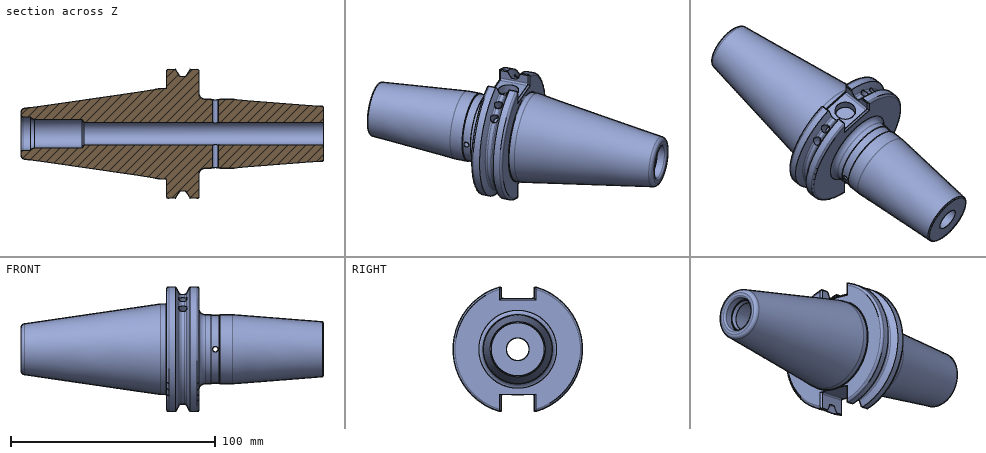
import cadquery as cq
import math


taper_length = 68.25
gauge_radius = 44.45 / 2
taper_slope = 7 / 48
tail_round = 2.0

flange_start = 3.0
flange_end = 19.05
flange_radius = 63.55 / 2
flange_rear_round = 1.2
flange_front_round = 1.0
flange_base_round = 0.3

groove_center = 11.05
groove_floor_radius = 56.25 / 2
groove_half_width = 3.58
groove_flank_angle = 30
groove_round = 1.0

nose_end = 80.0
neck_radius = 17.0
neck_round_end = 22.05
neck_round_radius = 3.2
relief_start = 24.8
relief_end = 29.2
relief_depth = 0.3
nose_cone_start = 35.4
nose_cone_angle = 4.5
nose_chamfer = 0.5

bore_mouth_round = 1.0
counterbore_radius = 8.2
counterbore_depth = 4.7
thread_cone_radius = 7.7
thread_cone_length = 2.0
thread_radius = 6.9
thread_depth = 30.0
drill_tip_angle = 59
through_bore_radius = 5.5

slot_half_width = 16.1 / 2
top_slot_floor = 25.0
bottom_slot_floor = 22.2
slot_corner_round = 0.8
slot_edge_chamfer = 0.9
slot_rim_chamfer = 0.45

chip_hole_radius = 5.0
chip_hole_depth = 4.6
balance_hole_radius = 2.0
balance_hole_depth = 6.0
balance_hole_angles = (45, 60)
cross_hole_radius = 1.3
cross_hole_x = 27.0


def make_body():
    """Turned outside shape: shank, flange blank and nose."""
    tail_radius = gauge_radius - taper_length * taper_slope
    neck_round_rise = neck_round_radius - math.sqrt(
        neck_round_radius**2 - (neck_round_end - flange_end) ** 2
    )
    nose_radius = neck_radius - (nose_end - nose_cone_start) * math.tan(math.radians(nose_cone_angle))
    profile = (
        cq.Workplane("XZ")
        .moveTo(-taper_length, 0)
        .lineTo(-taper_length, tail_radius)
        .lineTo(0, gauge_radius)
        .lineTo(flange_start - flange_base_round, gauge_radius)
        .radiusArc((flange_start, gauge_radius + flange_base_round), -flange_base_round)
        .lineTo(flange_start, flange_radius - flange_rear_round)
        .radiusArc((flange_start + flange_rear_round, flange_radius), flange_rear_round)
        .lineTo(flange_end - flange_front_round, flange_radius)
        .radiusArc((flange_end, flange_radius - flange_front_round), flange_front_round)
        .lineTo(flange_end, neck_radius + neck_round_rise)
        .radiusArc((neck_round_end, neck_radius), -neck_round_radius)
        .lineTo(relief_start, neck_radius)
        .lineTo(relief_start, neck_radius - relief_depth)
        .lineTo(relief_end - relief_depth, neck_radius - relief_depth)
        .lineTo(relief_end, neck_radius)
        .lineTo(nose_cone_start, neck_radius)
        .lineTo(nose_end, nose_radius)
        .lineTo(nose_end, 0)
        .close()
    )
    body = profile.revolve(360, (0, 0, 0), (1, 0, 0))
    body = body.faces("<X").edges().fillet(tail_round)
    return body.faces(">X").edges().chamfer(nose_chamfer)


def make_gripper_groove():
    """Ring cutter for the V groove, with rounded floor corners."""
    depth = flange_radius - groove_floor_radius
    flank_run = depth * math.tan(math.radians(groove_flank_angle))
    floor_half_width = groove_half_width - flank_run
    ring = (
        cq.Workplane("XZ")
        .moveTo(groove_center - groove_half_width, flange_radius)
        .lineTo(groove_center - floor_half_width, groove_floor_radius)
        .lineTo(groove_center + floor_half_width, groove_floor_radius)
        .lineTo(groove_center + groove_half_width, flange_radius)
        .close()
        .revolve(360, (0, 0, 0), (1, 0, 0))
    )
    floor_edges = cq.selectors.RadiusNthSelector(0)
    return ring.edges(floor_edges).fillet(groove_round)


def make_bore():
    """Pull stud counterbore and thread core, then the coolant bore to the nose."""
    mouth_radius = counterbore_radius + bore_mouth_round
    counterbore_end = -taper_length + counterbore_depth
    thread_end = -taper_length + thread_depth
    drill_tip_length = (thread_radius - through_bore_radius) / math.tan(math.radians(drill_tip_angle))
    return (
        cq.Workplane("XZ")
        .moveTo(-taper_length, 0)
        .lineTo(-taper_length, mouth_radius)
        .radiusArc((-taper_length + bore_mouth_round, counterbore_radius), -bore_mouth_round)
        .lineTo(counterbore_end, counterbore_radius)
        .lineTo(counterbore_end, thread_cone_radius)
        .lineTo(counterbore_end + thread_cone_length, thread_radius)
        .lineTo(thread_end, thread_radius)
        .lineTo(thread_end + drill_tip_length, through_bore_radius)
        .lineTo(nose_end, through_bore_radius)
        .lineTo(nose_end, 0)
        .close()
        .revolve(360, (0, 0, 0), (1, 0, 0))
    )


def make_slot(floor, floor_flare):
    """Drive slot on +Z, with rounded floor corners and chamfered edges.

    floor_flare is how far the floor drops at the two flange faces.
    """
    width = flange_end - flange_start
    rim_height = math.sqrt(flange_radius**2 - (slot_half_width + slot_rim_chamfer) ** 2)
    bevel_start = rim_height - slot_rim_chamfer
    top = flange_radius + slot_edge_chamfer
    bevel_half_width = slot_half_width + top - bevel_start
    slot = (
        cq.Workplane("YZ", origin=(flange_start, 0, 0))
        .moveTo(-bevel_half_width, top)
        .lineTo(-slot_half_width, bevel_start)
        .lineTo(-slot_half_width, floor + slot_corner_round)
        .radiusArc((-slot_half_width + slot_corner_round, floor), -slot_corner_round)
        .lineTo(slot_half_width - slot_corner_round, floor)
        .radiusArc((slot_half_width, floor + slot_corner_round), -slot_corner_round)
        .lineTo(slot_half_width, bevel_start)
        .lineTo(bevel_half_width, top)
        .close()
        .extrude(width)
    )
    for face_x, inward in ((flange_start, 1), (flange_end, -1)):
        slot = slot.union(make_slot_flare(face_x, inward, floor, floor_flare, top))
    return slot


def make_slot_flare(face_x, inward, floor, floor_flare, top):
    """Wedge that chamfers the slot walls and floor at one flange face."""
    outer_half_width = slot_half_width + slot_edge_chamfer
    outer_floor = floor - floor_flare
    inner_x = inward * slot_edge_chamfer
    return (
        cq.Workplane("YZ", origin=(face_x, 0, 0))
        .center(0, (outer_floor + top) / 2)
        .rect(2 * outer_half_width, top - outer_floor)
        .workplane(offset=inner_x)
        .center(0, floor_flare / 2)
        .rect(2 * slot_half_width, top - floor)
        .loft(ruled=True)
    )


def make_balance_holes():
    """Radial blind holes from the groove floor, two on each side of the top slot."""
    holes = cq.Workplane("XY")
    for angle in balance_hole_angles:
        for side in (-1, 1):
            outward = cq.Vector(0, side * math.cos(math.radians(angle)), math.sin(math.radians(angle)))
            bottom = cq.Vector(groove_center, 0, 0) + outward * (groove_floor_radius - balance_hole_depth)
            length = flange_radius - groove_floor_radius + balance_hole_depth
            holes = holes.add(cq.Solid.makeCylinder(balance_hole_radius, length, bottom, outward))
    return holes.combine()


def make_chip_hole():
    """Blind round hole in the floor of the top slot."""
    bottom = cq.Vector(groove_center, 0, top_slot_floor - chip_hole_depth)
    return cq.Solid.makeCylinder(chip_hole_radius, flange_radius - bottom.z, bottom, cq.Vector(0, 0, 1))


def make_cross_hole():
    """Small hole straight through the neck along Y."""
    start = cq.Vector(cross_hole_x, -flange_radius, 0)
    return cq.Solid.makeCylinder(cross_hole_radius, 2 * flange_radius, start, cq.Vector(0, 1, 0))


top_slot = make_slot(top_slot_floor, slot_edge_chamfer)
bottom_slot = make_slot(bottom_slot_floor, 0).rotate((0, 0, 0), (1, 0, 0), 180)

result = (
    make_body()
    .cut(make_gripper_groove())
    .cut(make_bore())
    .cut(top_slot)
    .cut(bottom_slot)
    .cut(make_balance_holes())
    .cut(make_chip_hole())
    .cut(make_cross_hole())
)